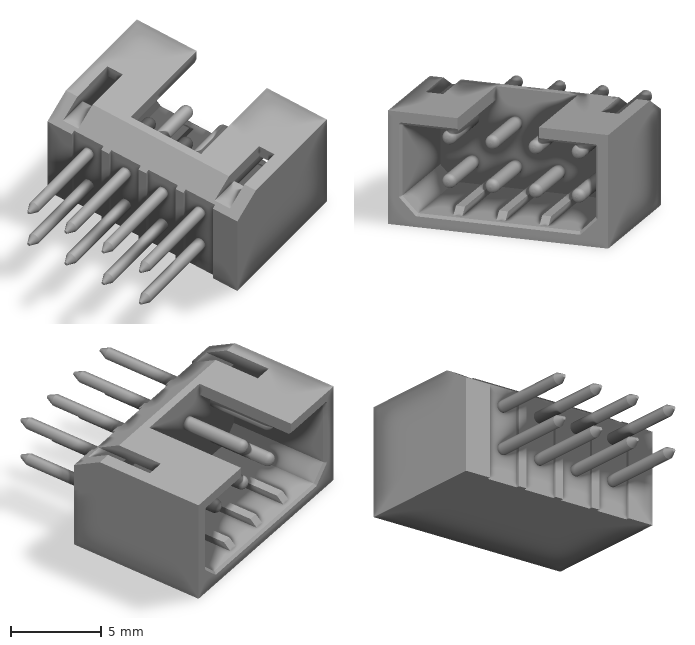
import cadquery as cq
import math


WIDTH = 13.0
HEIGHT = 6.6
OVERALL_LENGTH = 13.9
DEPTH = 8.44
BEVEL_DEPTH = 1.75
BEVEL_DROP = 1.0

WALL = 0.78
CAVITY_WIDTH = 11.41
CAVITY_FLOOR_Y = 2.22
CORNER_WIDTH = 0.92
CORNER_HEIGHT = CORNER_WIDTH
MOUTH_DEPTH = 0.15
MOUTH_ANGLE = 45
NOTCH_WIDTH = 4.81

COLUMNS = 4
PITCH = 2.55
PIN_ROW_CENTER = HEIGHT / 2
TAIL_RADIUS = 0.35
TAIL_TIP_RADIUS = 0.1
TAIL_TIP_LENGTH = 0.53
CONTACT_RADIUS = 0.4
CONTACT_ROUNDING = 0.36
CONTACT_SETBACK = 2.21

RECESS_WIDTH = 2.02
RECESS_DEPTH = 0.21
RIB_WIDTH = PITCH - RECESS_WIDTH
RIB_SETBACK = 0.45
RIB_HEIGHT = 0.43
RIB_RAMP = RIB_HEIGHT

SLOT_WIDTH = 1.04
SLOT_BACK_Y = 4.59

pin_columns = [(i - (COLUMNS - 1) / 2) * PITCH for i in range(COLUMNS)]
pin_rows = [PIN_ROW_CENTER - PITCH / 2, PIN_ROW_CENTER + PITCH / 2]
web_positions = [x + PITCH / 2 for x in pin_columns[:-1]]
slot_offset = (CAVITY_WIDTH - SLOT_WIDTH) / 2


def block(x_center, x_size, y_start, y_end, z_start, z_end):
    """Box centred on x_center that spans the given Y and Z ranges."""
    return (
        cq.Workplane("XY")
        .box(x_size, y_end - y_start, z_end - z_start, centered=(True, False, False))
        .translate((x_center, y_start, z_start))
    )


def side_profile(points, x_center, x_size):
    """Prism along X from an outline of (Y, Z) points."""
    return (
        cq.Workplane("YZ")
        .polyline(points)
        .close()
        .extrude(x_size / 2, both=True)
        .translate((x_center, 0, 0))
    )


def make_shell():
    """Outer block with the sloped bevel along its upper front edge."""
    outline = [
        (0, 0),
        (DEPTH, 0),
        (DEPTH, HEIGHT),
        (BEVEL_DEPTH, HEIGHT),
        (0, HEIGHT - BEVEL_DROP),
    ]
    return side_profile(outline, 0, WIDTH)


def make_cavity():
    """Space for the mating plug: sloped lower corners and a flared mouth."""
    half_width = CAVITY_WIDTH / 2
    outline = [
        (HEIGHT - WALL, -half_width),
        (HEIGHT - WALL, half_width),
        (WALL + CORNER_HEIGHT, half_width),
        (WALL, half_width - CORNER_WIDTH),
        (WALL, CORNER_WIDTH - half_width),
        (WALL + CORNER_HEIGHT, -half_width),
    ]
    cavity = (
        cq.Workplane("ZX", origin=(0, CAVITY_FLOOR_Y, 0))
        .polyline(outline)
        .close()
        .extrude(DEPTH - CAVITY_FLOOR_Y)
    )
    flare = (
        cq.Workplane("ZX", origin=(0, DEPTH - MOUTH_DEPTH, 0))
        .polyline(outline)
        .close()
        .extrude(MOUTH_DEPTH, taper=-MOUTH_ANGLE)
    )
    return cavity.union(flare)


def make_rib(x):
    """Guide rib on the cavity's lower wall, ramped at its mouth end."""
    rib_end = DEPTH - RIB_SETBACK
    outline = [
        (CAVITY_FLOOR_Y, WALL),
        (rib_end, WALL),
        (rib_end - RIB_RAMP, WALL + RIB_HEIGHT),
        (CAVITY_FLOOR_Y, WALL + RIB_HEIGHT),
    ]
    return side_profile(outline, x, RIB_WIDTH)


def make_pin(x, z):
    """Pointed solder tail and round-ended contact, turned about one axis along Y."""
    tail_end = DEPTH - OVERALL_LENGTH
    contact_end = DEPTH - CONTACT_SETBACK
    shoulder = CAVITY_FLOOR_Y / 2
    rounding_start = contact_end - CONTACT_ROUNDING
    flat_radius = CONTACT_RADIUS - CONTACT_ROUNDING
    half_arc = CONTACT_ROUNDING * math.cos(math.radians(45))
    return (
        cq.Workplane("XY")
        .moveTo(0, tail_end)
        .lineTo(TAIL_TIP_RADIUS, tail_end)
        .lineTo(TAIL_RADIUS, tail_end + TAIL_TIP_LENGTH)
        .lineTo(TAIL_RADIUS, shoulder)
        .lineTo(CONTACT_RADIUS, shoulder)
        .lineTo(CONTACT_RADIUS, rounding_start)
        .threePointArc((flat_radius + half_arc, rounding_start + half_arc), (flat_radius, contact_end))
        .lineTo(0, contact_end)
        .close()
        .revolve(360, (0, 0, 0), (0, 1, 0))
        .translate((x, 0, z))
    )


result = make_shell().cut(make_cavity())

result = result.cut(block(0, NOTCH_WIDTH, CAVITY_FLOOR_Y, DEPTH, HEIGHT - WALL, HEIGHT))

for side in (-1, 1):
    result = result.cut(block(side * slot_offset, SLOT_WIDTH, 0, SLOT_BACK_Y, HEIGHT - WALL, HEIGHT))

for x in pin_columns:
    result = result.cut(block(x, RECESS_WIDTH, 0, RECESS_DEPTH, 0, HEIGHT))

for x in web_positions:
    result = result.union(make_rib(x))

for x in pin_columns:
    for z in pin_rows:
        result = result.union(make_pin(x, z))